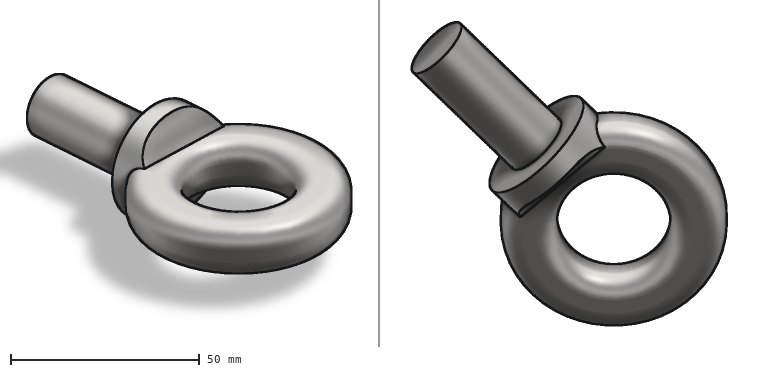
import cadquery as cq
import math

total_length = 99.0
shank_diameter = 18.0
shank_length = 38.9
collar_diameter = 34.0
collar_rim_width = 6.0
ring_outer_diameter = 59.9
ring_inner_diameter = 30.0
ring_thickness = 15.0
ring_edge_radius = 5.5
flare_radius = 12.9

ring_center_x = total_length - ring_outer_diameter / 2
collar_radius = collar_diameter / 2
ring_half_thickness = ring_thickness / 2
rim_end_x = shank_length + collar_rim_width


def flare_x(z):
    """X of the concave flare, which leaves the collar rim square to the shank axis."""
    drop = collar_radius - z
    return rim_end_x + flare_radius - math.sqrt(flare_radius**2 - drop**2)


def make_ring():
    """Flat ring with all four circular edges rounded."""
    return (
        cq.Workplane("XY")
        .workplane(offset=-ring_half_thickness)
        .center(ring_center_x, 0)
        .circle(ring_outer_diameter / 2)
        .circle(ring_inner_diameter / 2)
        .extrude(ring_thickness)
        .edges("%CIRCLE")
        .fillet(ring_edge_radius)
    )


def make_collar():
    """Round collar trimmed to concave flares above and below the ring."""
    flare_end_x = flare_x(ring_half_thickness)
    flare_mid_z = (collar_radius + ring_half_thickness) / 2
    flare_mid_x = flare_x(flare_mid_z)
    profile = (
        cq.Workplane("XZ")
        .moveTo(shank_length, -collar_radius)
        .lineTo(rim_end_x, -collar_radius)
        .threePointArc((flare_mid_x, -flare_mid_z), (flare_end_x, -ring_half_thickness))
        .lineTo(flare_end_x, ring_half_thickness)
        .threePointArc((flare_mid_x, flare_mid_z), (rim_end_x, collar_radius))
        .lineTo(shank_length, collar_radius)
        .close()
        .extrude(collar_radius, both=True)
    )
    cylinder = (
        cq.Workplane("YZ")
        .workplane(offset=shank_length)
        .circle(collar_radius)
        .extrude(flare_end_x - shank_length)
    )
    return cylinder.intersect(profile)


shank = cq.Workplane("YZ").circle(shank_diameter / 2).extrude(shank_length)

result = make_collar().union(make_ring()).union(shank)